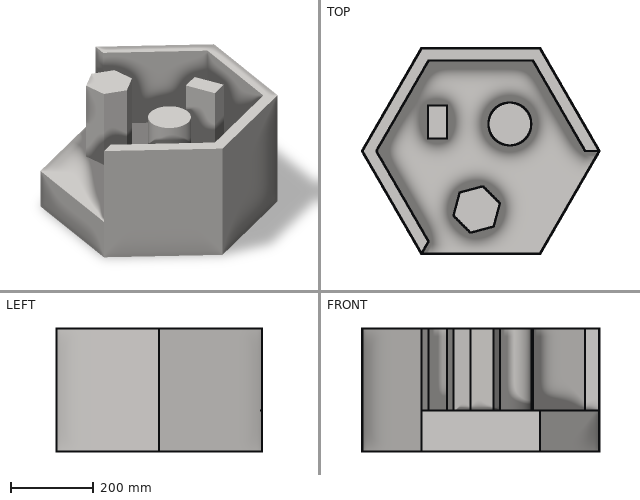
import cadquery as cq
import math

across_flats = 500.0
base_height = 100.0
total_height = 300.0
wall_thickness = 30.0

rise = total_height - base_height
sides = 6
half_side_angle = math.pi / sides
outer_radius = across_flats / 2 / math.cos(half_side_angle)
inner_radius = outer_radius - wall_thickness / math.cos(half_side_angle)

walled_sides = 4
wall_corner_angles = [corner * 360 / sides for corner in range(walled_sides + 1)]

cylinder_center = (70.8, 65.8)
cylinder_diameter = 104.2
block_center = (-105.0, 70.8)
block_size = (46.0, 80.0)
hexagon_center = (-9.9, -142.2)
hexagon_radius = 58.5
hexagon_turn = 15.0


def polar_point(radius, angle):
    """Point at the given radius and angle in degrees."""
    return (
        radius * math.cos(math.radians(angle)),
        radius * math.sin(math.radians(angle)),
    )


def make_base():
    return cq.Workplane("XY").polygon(sides, 2 * outer_radius).extrude(base_height)


def floor_plane():
    return cq.Workplane("XY").workplane(offset=base_height)


def make_wall():
    """Constant-thickness wall whose open ends are mitred at the hexagon corners."""
    outer_corners = [polar_point(outer_radius, angle) for angle in wall_corner_angles]
    inner_corners = [polar_point(inner_radius, angle) for angle in reversed(wall_corner_angles)]
    return floor_plane().polyline(outer_corners + inner_corners).close().extrude(rise)


def make_cylinder():
    return floor_plane().center(*cylinder_center).circle(cylinder_diameter / 2).extrude(rise)


def make_block():
    return floor_plane().center(*block_center).rect(*block_size).extrude(rise)


def make_hexagon_column():
    column = floor_plane().polygon(sides, 2 * hexagon_radius).extrude(rise)
    return column.rotate((0, 0, 0), (0, 0, 1), hexagon_turn).translate((*hexagon_center, 0))


result = (
    make_base()
    .union(make_wall())
    .union(make_cylinder())
    .union(make_block())
    .union(make_hexagon_column())
)